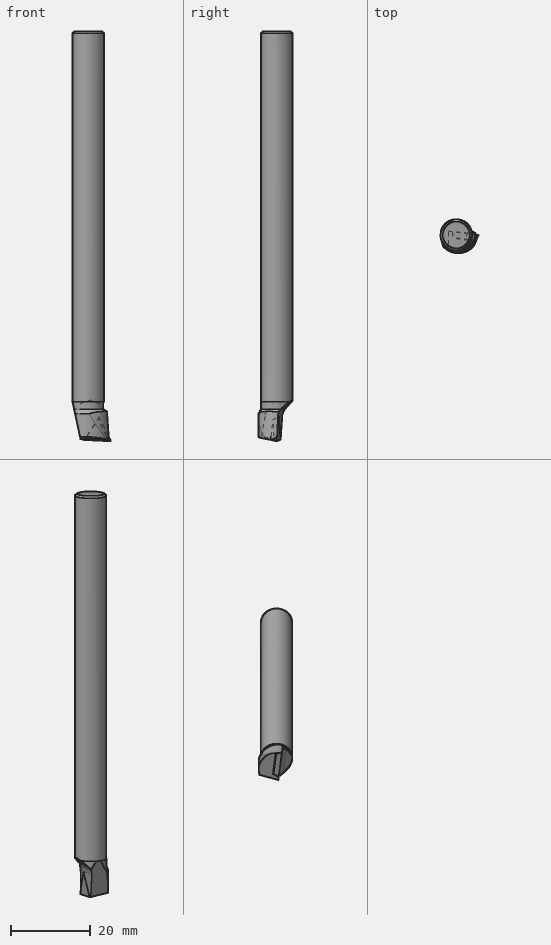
import cadquery as cq
import math

total_length = 102.7
shank_bottom = 9.9
neck_bottom = 8.1
head_top = 6.9

shank_diameter = 7.92
shank_radius = shank_diameter / 2
neck_diameter = 7.72
neck_radius = neck_diameter / 2
neck_center = (-0.1, -0.1)
end_chamfer_width = 0.6
end_chamfer_length = 0.5

head_radius = 5.0
head_center = (0.5, 0.42)
relief_top_center = (-0.25, 0.42)
relief_bottom_center = (0.2, -0.05)

slant_angle = 12.0
slant_top = 9.9

tip_reach = 5.57
tip_height = -0.05
rake_tilt_x = 0.14
rake_tilt_z = 0.036

ramp_angle = 45.0
ramp_start = 7.6
pocket_fillet = 3.0

corner_angle = 60.0
lead_angle = 3.0
inscribed_diameter = 3.97
edge_length = inscribed_diameter * math.sqrt(3)
insert_thickness = 1.59
flank_angle = 11.0
nose_radius = 0.2

end_setback = 0.1
end_relief_angle = 6.5

reach = 20.0

rake_normal = cq.Vector(rake_tilt_x, 1, -rake_tilt_z).normalized()
rake_x = cq.Vector(1, -rake_tilt_x, 0).normalized()
tip = cq.Vector(tip_reach, tip_height, 0)
seat_plane = cq.Plane(origin=tip, xDir=rake_x, normal=rake_normal * -1)
pocket_plane = cq.Plane(origin=tip, xDir=rake_normal, normal=rake_x)


def polar(length, angle):
    """Point at a distance and an angle in degrees."""
    return length * math.cos(math.radians(angle)), length * math.sin(math.radians(angle))


def make_shank():
    """Round shank with a chamfered end, and the thinner neck under it."""
    shank = cq.Workplane("XY").workplane(offset=shank_bottom).circle(shank_radius)
    shank = shank.extrude(total_length - shank_bottom)
    shank = shank.faces(">Z").edges().chamfer(end_chamfer_length, end_chamfer_width)
    neck = cq.Workplane("XY").workplane(offset=neck_bottom).center(*neck_center).circle(neck_radius)
    return shank.union(neck.extrude(shank_bottom - neck_bottom))


def make_relief():
    """Leaning cylinder that bounds the tip side of the head."""
    top_x, top_y = relief_top_center
    bottom_x, bottom_y = relief_bottom_center
    axis = cq.Vector(top_x - bottom_x, top_y - bottom_y, head_top)
    start = cq.Vector(bottom_x, bottom_y, 0) - axis
    return cq.Workplane(cq.Solid.makeCylinder(head_radius, 3 * axis.Length, start, axis))


def make_head():
    """Eccentric head with a flare up to the neck."""
    body = cq.Workplane("XY").center(*head_center).circle(head_radius).extrude(head_top)
    neck_shift = (neck_center[0] - head_center[0], neck_center[1] - head_center[1])
    flare = (
        cq.Workplane("XY")
        .workplane(offset=head_top)
        .center(*head_center)
        .circle(head_radius)
        .workplane(offset=neck_bottom - head_top)
        .center(*neck_shift)
        .circle(neck_radius)
        .loft(ruled=True)
    )
    return body.union(flare).intersect(make_relief())


def make_slant_cut():
    """Wedge outside the slanted flat on the -X side."""
    drift = slant_top * math.tan(math.radians(slant_angle))
    outline = [
        (-shank_radius, slant_top),
        (-shank_radius + drift, 0),
        (-reach, 0),
        (-reach, slant_top),
    ]
    return cq.Workplane("XZ").polyline(outline).close().extrude(reach, both=True)


def make_chip_pocket():
    """Space above the rake plane, with a rounded run-out to a ramp."""
    ramp_rise = reach * math.tan(math.radians(ramp_angle))
    outline = [
        (0, -reach),
        (0, ramp_start),
        (reach, ramp_start + ramp_rise),
        (reach, -reach),
    ]
    pocket = cq.Workplane(pocket_plane).polyline(outline).close().extrude(reach, both=True)
    corner = pocket_plane.toWorldCoords((0, ramp_start, 0))
    return pocket.edges(cq.selectors.NearestToPointSelector(corner)).fillet(pocket_fillet)


def make_end_cut():
    """Space under the end face, with the lead angle of the insert and its own relief angle."""
    face_plane = cq.Plane(seat_plane.toWorldCoords((0, end_setback, 0)), rake_x, rake_normal * -1)
    face_plane = face_plane.rotated((0, 0, -lead_angle)).rotated((-end_relief_angle, 0, 0))
    return cq.Workplane(face_plane).center(0, -reach / 2).box(2 * reach, reach, 2 * reach)


def make_insert():
    """Triangular insert with its upper face on the rake plane and its nose at the tip."""
    bisector = 180 - lead_angle - corner_angle / 2
    nose_gap = nose_radius / math.sin(math.radians(corner_angle / 2))
    gap_x, gap_y = polar(nose_gap, bisector)
    corner_x, corner_y = -nose_radius - gap_x, nose_radius - gap_y
    end_x, end_y = polar(edge_length, 180 - lead_angle)
    side_x, side_y = polar(edge_length, 180 - lead_angle - corner_angle)
    outline = [(0, 0), (side_x, side_y), (end_x, end_y)]
    blank = cq.Workplane(seat_plane).center(corner_x, corner_y).polyline(outline).close()
    blank = blank.extrude(insert_thickness, taper=flank_angle)
    nose = seat_plane.toWorldCoords((corner_x, corner_y, insert_thickness / 2))
    return blank.edges(cq.selectors.NearestToPointSelector(nose)).fillet(nose_radius)


insert = make_insert()
holder = make_shank().union(make_head())
holder = holder.cut(make_slant_cut()).cut(make_chip_pocket()).cut(make_end_cut()).cut(insert)
result = cq.Compound.makeCompound([holder.val(), insert.val()])